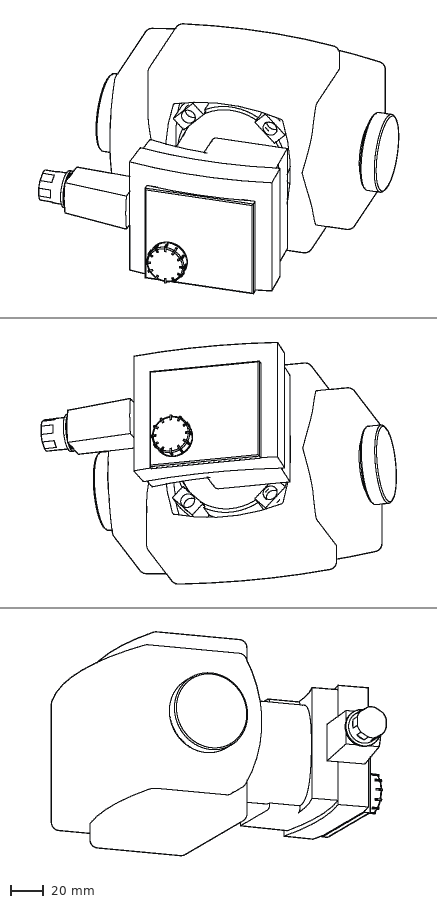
import cadquery as cq
import math


SHELL_FRONT_Y = -40.0
SHELL_EDGE_RADIUS = 5.2
WIDE_HALF_X = 77.4
WIDE_HALF_Z = 42.5
WIDE_BACK_Y = 51.7
WIDE_BACK_RADIUS = 248.9
WIDE_FRONT_RADIUS = 79.7
TALL_HALF_X = 52.8
TALL_HEIGHT = 115.0
TALL_HALF_Z = TALL_HEIGHT / 2
TALL_BACK_Y = 30.0
TALL_BACK_RADIUS = 238.1

OPENING_CORNER = 35.0
OPENING_BULGE = 40.1
OPENING_CORNER_RADIUS = 2.0
OPENING_FLOOR_Y = -19.2

PIPE_RADIUS = 17.7
NECK_RADIUS = 19.2
FLANGE_RADIUS = 24.2
FLANGE_THICKNESS = 10.4
FLANGE_CHAMFER = 1.0
PIPE_END_X = 90.0
VOLUTE_RADIUS = 34.5
VOLUTE_FRONT_Y = -32.6
LUG_FRONT_Y = -37.5
LUG_WIDTH = 17.9
LUG_REACH = 41.9
LUG_ANGLES = (45, 135, 225, 315)
LUG_HOLE_RADIAL = 37.0
LUG_HOLE_DIAMETER = 8.8
LUG_HOLE_DEPTH = 7.7

MOTOR_BASE_RADIUS = 32.3
MOTOR_RADIUS = 31.3
MOTOR_TAPER_END_Y = -66.6
MOTOR_END_Y = -96.0

SIDE_TILT = 2.3
MODULE_X = 9.0
BASE_LEFT_X = -35.0
BASE_RIGHT_X = 49.0
BASE_HALF_Z = 35.0
BASE_LEFT_REAR_Y = -88.3
BASE_REAR_APEX_Y = -94.9
BLOCK_LEFT_X = 0.4
BLOCK_REAR_Y = -74.5
BLOCK_ROUNDING = 3.3
COVER_HALF_REAR = 45.0
COVER_HALF_Z = 37.6
COVER_REAR_Y = -105.2
COVER_FRONT_Y = -124.8
COVER_SAGITTA = 4.6
PANEL_X = (-25.0, 44.7)
PANEL_Z = (-38.2, 24.2)
PANEL_REAR_Y = -127.0
PANEL_FRONT_Y = -131.4
PANEL_CHAMFER = 0.8
KNOB_X = -9.0
KNOB_Z = -21.9
KNOB_RADIUS = 12.0
KNOB_FOOT_RADIUS = 11.3
KNOB_FOOT_HEIGHT = 1.2
KNOB_FRONT_Y = -140.2
KNOB_CHAMFER = 0.8
KNOB_RIBS = 12
KNOB_RIB_FRONT_Y = -140.4
KNOB_RIB_WIDTH = 1.0
KNOB_RIB_LENGTH = 4.2
KNOB_RIB_RADII = (9.5, 12.5)

PLUG_ORIGIN = (-35.5, -104.9)
PLUG_NECK_RADIUS = 7.5
PLUG_NECK_SHIFT = -1.2
PLUG_NECK_OVERRUN = 2.0
PLUG_INNER = 3.6
PLUG_RIM = 1.2
PLUG_OUTER = 45.7
PLUG_INNER_SECTION = (8.0, -16.5, -17.9, 11.5)
PLUG_OUTER_SECTION = (10.5, -11.1, -12.3, 10.5)
GLAND_SEAT_RADIUS = 10.2
GLAND_RING_START = 46.9
GLAND_RING_RADIUS = 11.5
GLAND_RING_END = 48.4
GLAND_RADIUS = 9.8
GLAND_END = 63.4
GLAND_FLATS = 6
GLAND_FLAT_DISTANCE = 9.5
GLAND_FLAT_LENGTH = 7.7


def y_cylinder(radius, y_start, y_end, x=0.0, z=0.0):
    """Cylinder along Y that runs from y_start down to the smaller y_end."""
    plane = cq.Workplane("XZ", origin=(x, y_start, z))
    return plane.circle(radius).extrude(y_start - y_end)


def box_between(x_range, y_range, z_range):
    """Box given by its lower and upper limits along each axis."""
    sizes = [high - low for low, high in (x_range, y_range, z_range)]
    corner = (x_range[0], y_range[0], z_range[0])
    return cq.Workplane("XY").box(*sizes, centered=False).translate(corner)


def sagitta(radius, half_chord):
    """Height of an arc of the given radius over half its chord."""
    return radius - math.sqrt(radius ** 2 - half_chord ** 2)


def shell_block(half_x, half_z, back_y, back_radius):
    """Upright block with a flat front and a back that bows outwards."""
    corner_y = back_y - sagitta(back_radius, half_x)
    return (
        cq.Workplane("XY", origin=(0, 0, -half_z))
        .moveTo(-half_x, SHELL_FRONT_Y)
        .lineTo(half_x, SHELL_FRONT_Y)
        .lineTo(half_x, corner_y)
        .threePointArc((0, back_y), (-half_x, corner_y))
        .close()
        .extrude(2 * half_z)
    )


def wide_block():
    """Block along the pipe, its front curved about the X direction."""
    block = shell_block(WIDE_HALF_X, WIDE_HALF_Z, WIDE_BACK_Y, WIDE_BACK_RADIUS)
    edge_y = SHELL_FRONT_Y + sagitta(WIDE_FRONT_RADIUS, WIDE_HALF_Z)
    curved_front = (
        cq.Workplane("YZ", origin=(-WIDE_HALF_X, 0, 0))
        .moveTo(WIDE_BACK_Y, -WIDE_HALF_Z)
        .lineTo(WIDE_BACK_Y, WIDE_HALF_Z)
        .lineTo(edge_y, WIDE_HALF_Z)
        .threePointArc((SHELL_FRONT_Y, 0), (edge_y, -WIDE_HALF_Z))
        .close()
        .extrude(2 * WIDE_HALF_X)
    )
    return block.intersect(curved_front).edges().fillet(SHELL_EDGE_RADIUS)


def tall_block():
    block = shell_block(TALL_HALF_X, TALL_HALF_Z, TALL_BACK_Y, TALL_BACK_RADIUS)
    return block.edges().fillet(SHELL_EDGE_RADIUS)


def front_opening():
    """Four bowed sides with small corner radii, sunk into the shell front."""
    corner = OPENING_CORNER
    bulge = OPENING_BULGE
    return (
        cq.Workplane("XZ", origin=(0, OPENING_FLOOR_Y, 0))
        .moveTo(-corner, -corner)
        .threePointArc((0, -bulge), (corner, -corner))
        .threePointArc((bulge, 0), (corner, corner))
        .threePointArc((0, bulge), (-corner, corner))
        .threePointArc((-bulge, 0), (-corner, -corner))
        .close()
        .extrude(OPENING_FLOOR_Y - SHELL_FRONT_Y)
        .edges("|Y")
        .fillet(OPENING_CORNER_RADIUS)
    )


def make_shell():
    return wide_block().union(tall_block()).cut(front_opening()).cut(casing_core())


def casing_core():
    """Pipe and volute, the part of the casing that the shell encloses."""
    pipe = (
        cq.Workplane("YZ", origin=(-PIPE_END_X, 0, 0))
        .circle(PIPE_RADIUS)
        .extrude(2 * PIPE_END_X)
    )
    return pipe.union(y_cylinder(VOLUTE_RADIUS, 0, VOLUTE_FRONT_Y))


def pipe_end():
    """Flange on the +X end, with a conical neck between it and the shell."""
    flange_back_x = PIPE_END_X - FLANGE_THICKNESS
    flange = (
        cq.Workplane("YZ", origin=(flange_back_x, 0, 0))
        .circle(FLANGE_RADIUS)
        .extrude(FLANGE_THICKNESS)
        .edges()
        .chamfer(FLANGE_CHAMFER)
    )
    neck = (
        cq.Workplane("XY")
        .moveTo(WIDE_HALF_X, 0)
        .lineTo(WIDE_HALF_X, PIPE_RADIUS)
        .lineTo(flange_back_x, NECK_RADIUS)
        .lineTo(flange_back_x, 0)
        .close()
        .revolve(360, (0, 0, 0), (1, 0, 0))
    )
    return flange.union(neck)


def screw_lug():
    """Block tangent to the motor, on the +X side of the motor axis."""
    return box_between(
        (MOTOR_BASE_RADIUS, LUG_REACH),
        (LUG_FRONT_Y, OPENING_FLOOR_Y),
        (-LUG_WIDTH / 2, LUG_WIDTH / 2),
    )


def screw_hole():
    """Blind hole in the lug on the +X side."""
    bottom_y = LUG_FRONT_Y + LUG_HOLE_DEPTH
    return y_cylinder(LUG_HOLE_DIAMETER / 2, bottom_y, LUG_FRONT_Y, LUG_HOLE_RADIAL)


def make_casing():
    casing = casing_core()
    casing = casing.union(pipe_end()).union(pipe_end().mirror("YZ"))
    for angle in LUG_ANGLES:
        casing = casing.union(screw_lug().rotate((0, 0, 0), (0, 1, 0), angle))
        casing = casing.cut(screw_hole().rotate((0, 0, 0), (0, 1, 0), angle))
    return casing


def make_motor():
    return (
        cq.Workplane("XY")
        .moveTo(0, VOLUTE_FRONT_Y)
        .lineTo(MOTOR_BASE_RADIUS, VOLUTE_FRONT_Y)
        .lineTo(MOTOR_RADIUS, MOTOR_TAPER_END_Y)
        .lineTo(MOTOR_RADIUS, MOTOR_END_Y)
        .lineTo(0, MOTOR_END_Y)
        .close()
        .revolve(360, (0, 0, 0), (0, 1, 0))
    )


def flare(length):
    """Sideways growth of a module side over a length along Y."""
    return length * math.tan(math.radians(SIDE_TILT))


def cover_arc_y(edge_y, x):
    """Y on a cover arc, which bows towards -Y between ends that lie at edge_y."""
    half_chord = COVER_HALF_REAR
    radius = (half_chord ** 2 + COVER_SAGITTA ** 2) / (2 * COVER_SAGITTA)
    return edge_y - COVER_SAGITTA + sagitta(radius, x - MODULE_X)


def make_module_base():
    """Curved base with a rear block that wraps around half of the motor."""
    front_left_x = BASE_LEFT_X - flare(BASE_LEFT_REAR_Y - COVER_REAR_Y)
    front_right_x = BASE_RIGHT_X + flare(BLOCK_REAR_Y - COVER_REAR_Y)
    front_left = (front_left_x, cover_arc_y(COVER_REAR_Y, front_left_x))
    front_right = (front_right_x, cover_arc_y(COVER_REAR_Y, front_right_x))
    front_apex = (MODULE_X, COVER_REAR_Y - COVER_SAGITTA)
    rear_middle = (MODULE_X + BASE_LEFT_X) / 2
    rear_reach = MODULE_X - BASE_LEFT_X
    rear_rise = BASE_LEFT_REAR_Y - BASE_REAR_APEX_Y
    rear_radius = (rear_reach ** 2 + rear_rise ** 2) / (2 * rear_rise)
    rear_middle_y = BASE_REAR_APEX_Y + sagitta(rear_radius, rear_reach / 2)
    plate = (
        cq.Workplane("XY", origin=(0, 0, -BASE_HALF_Z))
        .moveTo(BASE_LEFT_X, BASE_LEFT_REAR_Y)
        .threePointArc((rear_middle, rear_middle_y), (MODULE_X, BASE_REAR_APEX_Y))
        .lineTo(BASE_RIGHT_X + flare(BLOCK_REAR_Y - BASE_REAR_APEX_Y), BASE_REAR_APEX_Y)
        .lineTo(*front_right)
        .threePointArc(front_apex, front_left)
        .close()
        .extrude(2 * BASE_HALF_Z)
    )
    block = (
        cq.Workplane("XY", origin=(0, 0, -BASE_HALF_Z))
        .moveTo(BLOCK_LEFT_X, BLOCK_REAR_Y)
        .lineTo(BASE_RIGHT_X, BLOCK_REAR_Y)
        .lineTo(*front_right)
        .lineTo(BLOCK_LEFT_X, BASE_REAR_APEX_Y)
        .close()
        .extrude(2 * BASE_HALF_Z)
        .faces("<X")
        .edges("|Y")
        .fillet(BLOCK_ROUNDING)
    )
    return plate.union(block).cut(make_motor())


def make_module_cover(panel):
    """Curved cover that flares towards the front, with a seat for the panel."""
    half_front = COVER_HALF_REAR + flare(COVER_REAR_Y - COVER_FRONT_Y)
    return (
        cq.Workplane("XY", origin=(0, 0, -COVER_HALF_Z))
        .moveTo(MODULE_X - COVER_HALF_REAR, COVER_REAR_Y)
        .threePointArc(
            (MODULE_X, COVER_REAR_Y - COVER_SAGITTA),
            (MODULE_X + COVER_HALF_REAR, COVER_REAR_Y),
        )
        .lineTo(MODULE_X + half_front, COVER_FRONT_Y)
        .threePointArc(
            (MODULE_X, COVER_FRONT_Y - COVER_SAGITTA),
            (MODULE_X - half_front, COVER_FRONT_Y),
        )
        .close()
        .extrude(2 * COVER_HALF_Z)
        .cut(panel)
    )


def make_panel():
    panel = box_between(PANEL_X, (PANEL_FRONT_Y, PANEL_REAR_Y), PANEL_Z)
    return panel.faces("<Y").chamfer(PANEL_CHAMFER)


def make_knob():
    """Round knob on a narrower foot, with short grip ribs around its front rim."""
    foot_end_y = PANEL_FRONT_Y - KNOB_FOOT_HEIGHT
    foot = y_cylinder(KNOB_FOOT_RADIUS, PANEL_FRONT_Y, foot_end_y, KNOB_X, KNOB_Z)
    grip = y_cylinder(KNOB_RADIUS, foot_end_y, KNOB_FRONT_Y, KNOB_X, KNOB_Z)
    knob = foot.union(grip.faces("<Y").chamfer(KNOB_CHAMFER))
    rib = box_between(
        KNOB_RIB_RADII,
        (KNOB_RIB_FRONT_Y, KNOB_RIB_FRONT_Y + KNOB_RIB_LENGTH),
        (-KNOB_RIB_WIDTH / 2, KNOB_RIB_WIDTH / 2),
    )
    for index in range(KNOB_RIBS):
        turned = rib.rotate((0, 0, 0), (0, 1, 0), index * 360 / KNOB_RIBS)
        knob = knob.union(turned.translate((KNOB_X, 0, KNOB_Z)))
    return knob


def plug_plane(distance):
    """Plane across the plug axis; local x points to the rear of the module."""
    tilt = math.radians(SIDE_TILT)
    axis = cq.Vector(-math.cos(tilt), math.sin(tilt), 0)
    origin = cq.Vector(*PLUG_ORIGIN, 0) + axis * distance
    return cq.Plane(origin=origin, xDir=(math.sin(tilt), math.cos(tilt), 0), normal=axis)


def plug_section(distance, rear, front_corner, front_bulge, half_z):
    """Outline across the plug axis: a rectangle whose front side bows outwards."""
    return (
        cq.Workplane(plug_plane(distance))
        .moveTo(rear, -half_z)
        .lineTo(rear, half_z)
        .lineTo(front_corner, half_z)
        .threePointArc((front_bulge, 0), (front_corner, -half_z))
        .close()
    )


def make_plug(base, cover):
    """Tapered plug shell with a straight rim, and the round neck that meets the module side."""
    rim_end = PLUG_INNER + PLUG_RIM
    rim = plug_section(PLUG_INNER, *PLUG_INNER_SECTION).extrude(PLUG_RIM)
    taper_start = plug_section(rim_end, *PLUG_INNER_SECTION).val()
    taper_end = plug_section(PLUG_OUTER, *PLUG_OUTER_SECTION).val()
    taper = cq.Workplane(cq.Solid.makeLoft([taper_start, taper_end], True))
    neck = (
        cq.Workplane(plug_plane(-PLUG_NECK_OVERRUN))
        .center(PLUG_NECK_SHIFT, 0)
        .circle(PLUG_NECK_RADIUS)
        .extrude(PLUG_INNER + PLUG_NECK_OVERRUN)
        .cut(base)
        .cut(cover)
    )
    return neck.union(rim).union(taper)


def plug_cylinder(radius, start, end):
    """Cylinder along the plug axis."""
    return cq.Workplane(plug_plane(start)).circle(radius).extrude(end - start)


def make_gland_ring():
    """Sealing ring on a narrower seat against the plug."""
    seat = plug_cylinder(GLAND_SEAT_RADIUS, PLUG_OUTER, GLAND_RING_START)
    return seat.union(plug_cylinder(GLAND_RING_RADIUS, GLAND_RING_START, GLAND_RING_END))


def make_gland_nut():
    """Round nut with wrench flats at its outer end."""
    nut = plug_cylinder(GLAND_RADIUS, GLAND_RING_END, GLAND_END)
    flat_zone = (
        cq.Workplane(plug_plane(GLAND_END - GLAND_FLAT_LENGTH))
        .circle(2 * GLAND_RADIUS)
        .polygon(GLAND_FLATS, 2 * GLAND_FLAT_DISTANCE, circumscribed=True)
        .extrude(GLAND_FLAT_LENGTH)
    )
    return nut.cut(flat_zone)


shell = make_shell()
casing = make_casing()
motor = make_motor()
panel = make_panel()
module_base = make_module_base()
module_cover = make_module_cover(panel)
knob = make_knob()
plug = make_plug(module_base, module_cover)
gland_ring = make_gland_ring()
gland_nut = make_gland_nut()

result = cq.Compound.makeCompound(
    [
        shell.val(),
        casing.val(),
        motor.val(),
        module_base.val(),
        module_cover.val(),
        panel.val(),
        knob.val(),
        plug.val(),
        gland_ring.val(),
        gland_nut.val(),
    ]
)